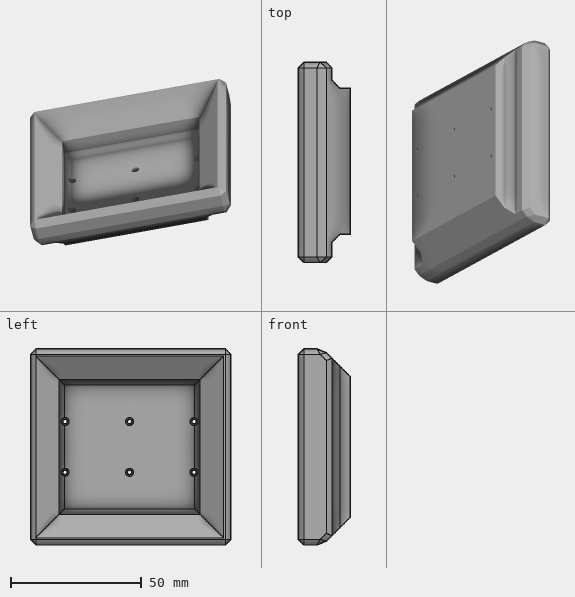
import cadquery as cq
import math

FRAME_WIDTH = 76.62
FRAME_HEIGHT = 75.1
FRAME_DEPTH = 12.92
TOTAL_DEPTH = 19.95
EDGE_CHAMFER = 2.15
REAR_HALF_HEIGHT = 26.9
SLOPE_START_X = TOTAL_DEPTH - (FRAME_HEIGHT / 2 - REAR_HALF_HEIGHT)
SIN_45 = math.sqrt(0.5)

OFFSET_Y = 0.45

HOUSING_HALF_WIDTH = 28.0
HOUSING_BEVEL = 3.0

MOUTH_HALF_WIDTH = 35.95
MOUTH_HALF_HEIGHT = 34.75
FUNNEL_DEPTH = 9.0
FLOOR_BEVEL = 2.1
FLOOR_THICKNESS = 3.2
FLOOR_X = TOTAL_DEPTH - FLOOR_THICKNESS
FLOOR_BEVEL_X = FLOOR_X - FLOOR_BEVEL

HOLE_DIAMETER = 1.6
COUNTERBORE_DIAMETER = 3.05
COUNTERBORE_DEPTH = 2.2
HOLE_SPACING_Y = 24.65
HOLE_SPACING_Z = 19.4
HOLE_COLUMNS = (-1, 0, 1)
HOLE_ROWS = (-0.5, 0.5)


def side_profile():
    """XZ outline: flat front, 45 degree slopes down to the rear face."""
    half_height = FRAME_HEIGHT / 2
    return [
        (0, -half_height),
        (SLOPE_START_X, -half_height),
        (TOTAL_DEPTH, -REAR_HALF_HEIGHT),
        (TOTAL_DEPTH, REAR_HALF_HEIGHT),
        (SLOPE_START_X, half_height),
        (0, half_height),
    ]


def make_sloped_block():
    """Full-depth block with the sloped upper and lower rear faces."""
    return cq.Workplane("XZ").polyline(side_profile()).close().extrude(FRAME_WIDTH / 2, both=True)


def make_polyhedron(faces):
    """Solid bounded by flat faces, each given as a list of corner points."""
    sides = []
    for corners in faces:
        points = [cq.Vector(*corner) for corner in corners]
        sides.append(cq.Face.makeFromWires(cq.Wire.makePolygon(points, close=True)))
    return cq.Solid.makeSolid(cq.Shell.makeShell(sides))


def make_ridge_cutter(side):
    """Bevel cutter for one ridge (side +1 upper, -1 lower), with a pointed tip at each end."""
    half_height = FRAME_HEIGHT / 2
    straight_end = FRAME_WIDTH / 2 - EDGE_CHAMFER
    slope_run = EDGE_CHAMFER * SIN_45

    on_flat = (SLOPE_START_X - EDGE_CHAMFER, side * half_height)
    on_slope = (SLOPE_START_X + slope_run, side * (half_height - slope_run))
    outside = (
        2 * SLOPE_START_X - (on_flat[0] + on_slope[0]) / 2,
        2 * side * half_height - (on_flat[1] + on_slope[1]) / 2,
    )
    triangle = [on_flat, on_slope, outside]

    tip_x = SLOPE_START_X + EDGE_CHAMFER - EDGE_CHAMFER / SIN_45
    tip_z = side * (half_height - EDGE_CHAMFER)

    faces = []
    for first, second in zip(triangle, triangle[1:] + triangle[:1]):
        faces.append([
            (first[0], -straight_end, first[1]),
            (second[0], -straight_end, second[1]),
            (second[0], straight_end, second[1]),
            (first[0], straight_end, first[1]),
        ])
        for end in (-1, 1):
            faces.append([
                (first[0], end * straight_end, first[1]),
                (second[0], end * straight_end, second[1]),
                (tip_x, end * FRAME_WIDTH / 2, tip_z),
            ])
    return make_polyhedron(faces)


def make_frame():
    """Front frame with chamfered outer edges and beveled ridges."""
    limit = cq.Workplane("YZ").rect(FRAME_WIDTH, FRAME_HEIGHT).extrude(FRAME_DEPTH)
    frame = make_sloped_block().intersect(limit)
    behind_front = cq.selectors.BoxSelector(
        (EDGE_CHAMFER, -EDGE_CHAMFER, -FRAME_HEIGHT),
        (TOTAL_DEPTH, EDGE_CHAMFER, FRAME_HEIGHT),
    )
    frame = frame.edges(cq.selectors.InverseSelector(behind_front)).chamfer(EDGE_CHAMFER)
    for side in (-1, 1):
        frame = frame.cut(cq.Workplane(make_ridge_cutter(side)))
    return frame


def make_housing():
    """Narrower rear housing, beveled out to the frame and following the slopes."""
    base_half_width = HOUSING_HALF_WIDTH + HOUSING_BEVEL
    bevel_end = FRAME_DEPTH + HOUSING_BEVEL
    outline = [
        (FRAME_DEPTH, OFFSET_Y - base_half_width),
        (bevel_end, OFFSET_Y - HOUSING_HALF_WIDTH),
        (TOTAL_DEPTH, OFFSET_Y - HOUSING_HALF_WIDTH),
        (TOTAL_DEPTH, OFFSET_Y + HOUSING_HALF_WIDTH),
        (bevel_end, OFFSET_Y + HOUSING_HALF_WIDTH),
        (FRAME_DEPTH, OFFSET_Y + base_half_width),
    ]
    prism = cq.Workplane("XY").polyline(outline).close().extrude(FRAME_HEIGHT / 2, both=True)
    return prism.intersect(make_sloped_block())


def cavity_section(start_x, end_x, start_inset, end_inset):
    """Loft between two rectangles, each inset from the mouth of the cavity."""
    def size(inset):
        return 2 * (MOUTH_HALF_WIDTH - inset), 2 * (MOUTH_HALF_HEIGHT - inset)

    return (
        cq.Workplane("YZ", origin=(start_x, OFFSET_Y, 0))
        .rect(*size(start_inset))
        .workplane(offset=end_x - start_x)
        .rect(*size(end_inset))
        .loft(ruled=True)
    )


def make_cavity():
    funnel = cavity_section(0, FUNNEL_DEPTH, 0, FUNNEL_DEPTH)
    walls = cavity_section(FUNNEL_DEPTH, FLOOR_BEVEL_X, FUNNEL_DEPTH, FUNNEL_DEPTH)
    floor = cavity_section(FLOOR_BEVEL_X, FLOOR_X, FUNNEL_DEPTH, FUNNEL_DEPTH + FLOOR_BEVEL)
    return funnel.union(walls).union(floor)


def make_holes():
    """Screw holes with counterbores opening into the cavity."""
    centers = [
        (OFFSET_Y + column * HOLE_SPACING_Y, row * HOLE_SPACING_Z)
        for column in HOLE_COLUMNS
        for row in HOLE_ROWS
    ]
    counterbore_end = FLOOR_X + COUNTERBORE_DEPTH
    at_holes = cq.Workplane("YZ", origin=(FLOOR_BEVEL_X, 0, 0)).pushPoints(centers)
    bores = at_holes.circle(HOLE_DIAMETER / 2).extrude(TOTAL_DEPTH - FLOOR_BEVEL_X)
    counterbores = at_holes.circle(COUNTERBORE_DIAMETER / 2).extrude(counterbore_end - FLOOR_BEVEL_X)
    return bores.union(counterbores)


result = make_frame().union(make_housing()).cut(make_cavity()).cut(make_holes())